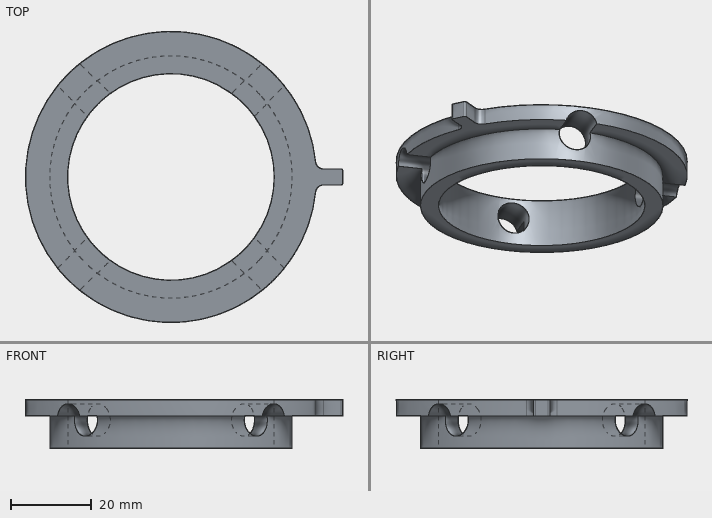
import cadquery as cq

overall_length = 78.5
flange_diameter = 72.0
collar_diameter = 60.0
bore_diameter = 51.0
total_height = 12.0
flange_thickness = 4.0

tab_width = 4.0
tab_root_fillet = 2.0
tab_tip_fillet = 0.5

cross_hole_diameter = 8.0
cross_hole_depth_below_top = 5.0
cross_hole_angles = (45, 135)

flange_radius = flange_diameter / 2
collar_height = total_height - flange_thickness
tab_tip_x = overall_length - flange_radius
cross_hole_z = total_height - cross_hole_depth_below_top


def make_flange():
    """Disc with a narrow radial tab blended into its rim on the +X side."""
    disc = cq.Workplane("XY").circle(flange_radius).extrude(flange_thickness)
    tab = (
        cq.Workplane("XY")
        .center(tab_tip_x / 2, 0)
        .rect(tab_tip_x, tab_width)
        .extrude(flange_thickness)
    )
    tip_edges = cq.selectors.BoxSelector(
        (tab_tip_x - tab_width / 2, -tab_width, 0),
        (tab_tip_x + tab_width / 2, tab_width, flange_thickness),
    )
    root_edges = cq.selectors.BoxSelector(
        (flange_radius - tab_width / 2, -tab_width, 0),
        (flange_radius + tab_width / 2, tab_width, flange_thickness),
    )
    flange = disc.union(tab)
    flange = flange.edges("|Z").edges(root_edges).fillet(tab_root_fillet)
    flange = flange.edges("|Z").edges(tip_edges).fillet(tab_tip_fillet)
    return flange.translate((0, 0, collar_height))


def make_cross_hole(angle):
    """Horizontal cylinder through both walls of the ring."""
    return (
        cq.Workplane("YZ")
        .circle(cross_hole_diameter / 2)
        .extrude(flange_diameter, both=True)
        .rotate((0, 0, 0), (0, 0, 1), angle)
        .translate((0, 0, cross_hole_z))
    )


collar = cq.Workplane("XY").circle(collar_diameter / 2).extrude(collar_height)
bore = cq.Workplane("XY").circle(bore_diameter / 2).extrude(total_height)

result = collar.union(make_flange()).cut(bore)
for hole_angle in cross_hole_angles:
    result = result.cut(make_cross_hole(hole_angle))